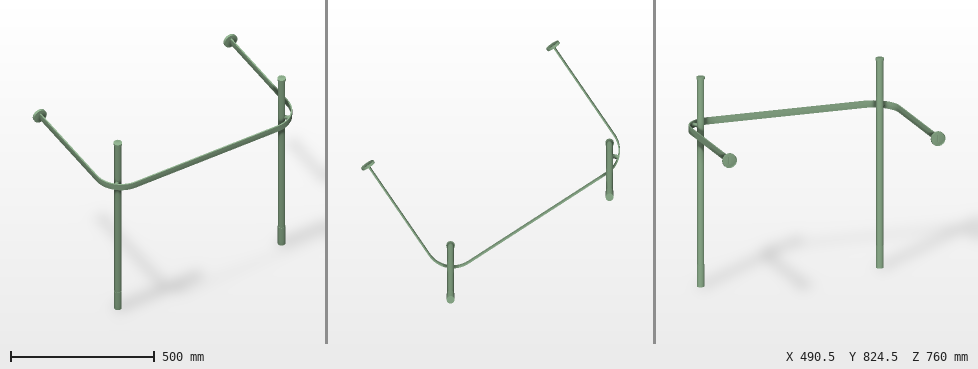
import cadquery as cq

overall_depth = 490.5
overall_width = 824.5
overall_height = 760.0

rail_start_x = 4.0
rail_height = 25.0
rail_thickness = 5.0
corner_radius = 100.0
rail_center_z = 582.5

rosette_diameter = 51.5
rosette_inner_diameter = 49.5
rosette_depth = 9.0
rosette_wall = (rosette_diameter - rosette_inner_diameter) / 2

tube_diameter = 25.0
cap_diameter = 30.0
cap_height = 8.0
foot_diameter = 27.0
foot_height = 80.0
leg_x = 441.0
leg_y = 332.0

spacer_diameter = 15.0
spacer_length = 31.0

arm_y = (overall_width - rosette_diameter) / 2
rail_half_width = arm_y + rail_thickness / 2
tube_height = overall_height - foot_height - cap_height


def cylinder(diameter, height, x, y, z):
    return cq.Workplane("XY", origin=(x, y, z)).circle(diameter / 2).extrude(height)


def rail_outline(inset):
    """Solid U shape of the rail height, inset from the outer face of the rail."""
    half_width = rail_half_width - inset
    length = overall_depth - rail_start_x - inset
    return (
        cq.Workplane("XY", origin=(rail_start_x, 0, rail_center_z))
        .box(length, 2 * half_width, rail_height, centered=(False, True, True))
        .edges("|Z and >X")
        .fillet(corner_radius - inset)
    )


def make_spacer(side):
    axis = cq.Plane(
        origin=(leg_x, side * leg_y, rail_center_z),
        xDir=(0, 0, 1),
        normal=(1, side, 0),
    )
    return cq.Workplane(axis).circle(spacer_diameter / 2).extrude(spacer_length)


def make_frame(sides):
    """Rail, both leg tubes and both spacers, welded into one body."""
    frame = rail_outline(0).cut(rail_outline(rail_thickness))
    for side in sides:
        tube = cylinder(tube_diameter, tube_height, leg_x, side * leg_y, foot_height)
        frame = frame.union(tube).union(make_spacer(side))
    return frame


def make_rosette(side):
    plane = cq.Workplane("YZ", origin=(0, side * arm_y, rail_center_z))
    cup = plane.circle(rosette_diameter / 2).extrude(rosette_depth)
    recess = plane.circle(rosette_inner_diameter / 2).extrude(rosette_depth - rosette_wall)
    slot = plane.rect(rail_thickness, rail_height).extrude(rosette_depth)
    return cup.cut(recess).cut(slot)


def make_foot(side):
    return cylinder(foot_diameter, foot_height, leg_x, side * leg_y, 0)


def make_cap(side):
    return cylinder(cap_diameter, cap_height, leg_x, side * leg_y, overall_height - cap_height)


sides = (-1, 1)
bodies = make_frame(sides).solids().vals()
for side in sides:
    bodies.extend(make_rosette(side).solids().vals())
    bodies.extend(make_foot(side).solids().vals())
    bodies.extend(make_cap(side).solids().vals())

result = cq.Compound.makeCompound(bodies)